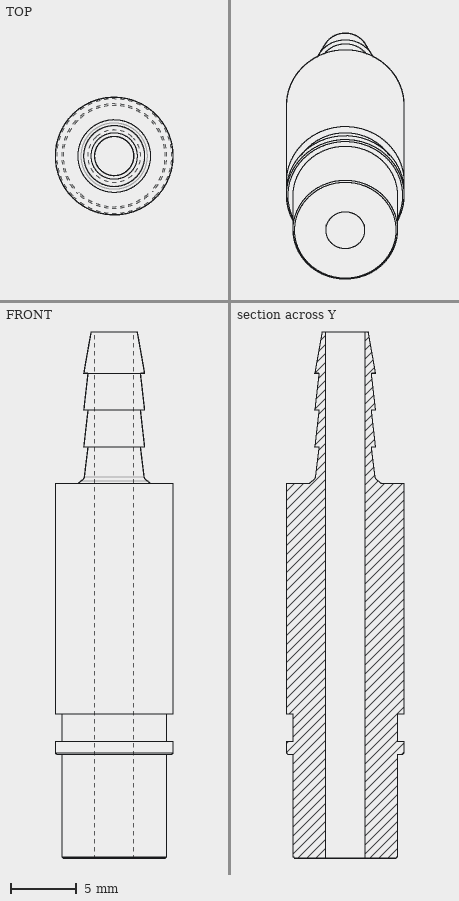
import cadquery as cq

total_length = 40.2
body_radius = 4.5
bore_radius = 1.5

plug_diameter = 8.0
plug_chamfer = 0.12
collar_bottom = 7.9
collar_top = 8.92
collar_chamfer = 0.12

body_bottom = 11.0
body_top = 28.62

tip_radius = 1.75
first_barb_length = 3.18
barb_pitch = 2.8
barb_count = 3
barb_radius = 2.35
barb_root_radius = 2.0
neck_radius = 2.3
foot_height = 0.5
flare_radius = 2.55
flare_height = 0.2
flare_arc_radius = 0.5
foot_radius = 2.77


def cylinder(radius, bottom, top):
    """Vertical cylinder on the Z axis."""
    return cq.Workplane("XY").workplane(offset=bottom).circle(radius).extrude(top - bottom)


def hose_barb():
    """Barbed stem, revolved from its half profile, flaring through an arc and a cone at its foot."""
    profile = cq.Workplane("XZ").moveTo(0, total_length).lineTo(tip_radius, total_length)
    for index in range(barb_count):
        edge_height = total_length - first_barb_length - index * barb_pitch
        profile = profile.lineTo(barb_radius, edge_height).lineTo(barb_root_radius, edge_height)
    profile = (
        profile.lineTo(neck_radius, body_top + foot_height)
        .radiusArc((flare_radius, body_top + flare_height), -flare_arc_radius)
        .lineTo(foot_radius, body_top)
        .lineTo(0, body_top)
        .close()
    )
    return profile.revolve(360, (0, 0, 0), (0, 1, 0))


plug = cylinder(plug_diameter / 2, 0, body_bottom).faces("<Z").chamfer(plug_chamfer)
collar = cylinder(body_radius, collar_bottom, collar_top).faces("<Z").chamfer(collar_chamfer)
body = cylinder(body_radius, body_bottom, body_top)
bore = cylinder(bore_radius, 0, total_length)

result = plug.union(collar).union(body).union(hose_barb()).cut(bore)